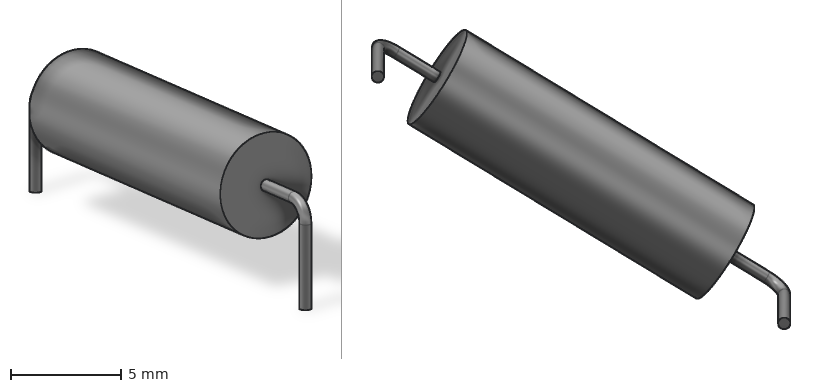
import cadquery as cq

overall_length = 22.46
body_diameter = 5.0
body_length = 15.5
lead_diameter = 0.56
bend_radius = 0.98
lead_drop = 2.54

axis_height = body_diameter / 2
body_end = body_length / 2
lead_offset = (overall_length - lead_diameter) / 2


def make_body():
    """Plain cylinder lying along X."""
    return (
        cq.Workplane("YZ", origin=(-body_end, 0, axis_height))
        .circle(body_diameter / 2)
        .extrude(body_length)
    )


def make_lead(side):
    """Round wire from a body end face, bent down to its tip; side is -1 or +1 along X."""
    path = (
        cq.Workplane("XZ")
        .moveTo(side * body_end, axis_height)
        .lineTo(side * (lead_offset - bend_radius), axis_height)
        .tangentArcPoint((side * lead_offset, axis_height - bend_radius), relative=False)
        .lineTo(side * lead_offset, -lead_drop)
    )
    return (
        cq.Workplane("YZ", origin=(side * body_end, 0, axis_height))
        .circle(lead_diameter / 2)
        .sweep(path)
    )


body = make_body()
leads = [make_lead(side) for side in (-1, 1)]

result = cq.Compound.makeCompound([body.val(), *[lead.val() for lead in leads]])